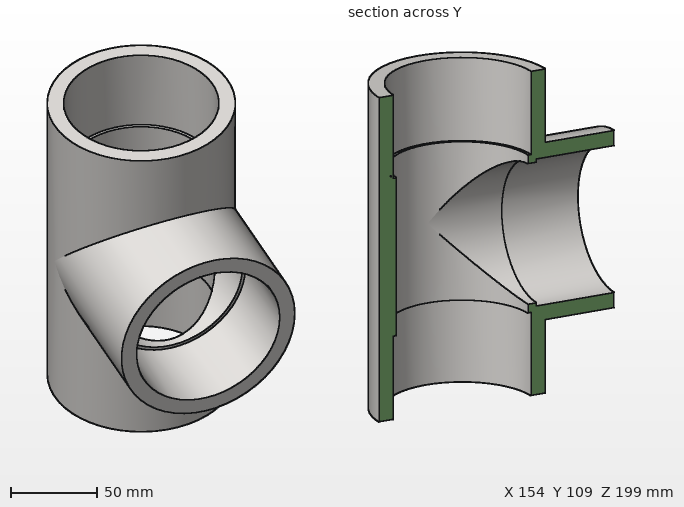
import cadquery as cq

run_length = 199.0
branch_reach = run_length / 2
outer_diameter = 109.0
bore_diameter = 86.0
socket_diameter = 90.0
socket_depth = 51.0


def cylinder(plane, diameter, start, end):
    """Cylinder along the plane normal, from start to end measured from the tee centre."""
    return cq.Workplane(plane).workplane(offset=start).circle(diameter / 2).extrude(end - start)


run_body = cylinder("XY", outer_diameter, -run_length / 2, run_length / 2)
branch_body = cylinder("YZ", outer_diameter, 0, branch_reach)
body = run_body.union(branch_body)

run_bore = cylinder("XY", bore_diameter, -run_length / 2, run_length / 2)
branch_bore = cylinder("YZ", bore_diameter, 0, branch_reach)
body = body.cut(run_bore.union(branch_bore))

run_socket_start = run_length / 2 - socket_depth
branch_socket_start = branch_reach - socket_depth
sockets = [
    cylinder("XY", socket_diameter, run_socket_start, run_length / 2),
    cylinder("XY", socket_diameter, -run_length / 2, -run_socket_start),
    cylinder("YZ", socket_diameter, branch_socket_start, branch_reach),
]
for socket in sockets:
    body = body.cut(socket)

result = body